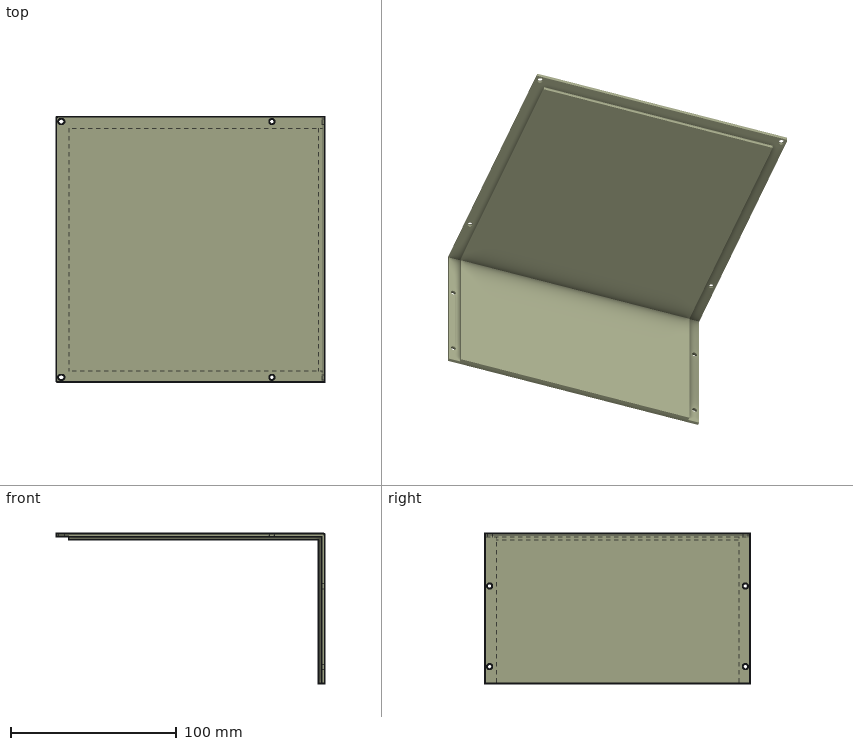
import cadquery as cq

length = 162.0
width = 160.0
height = 90.5

sheet_thickness = 2.0
liner_thickness = 2.0
bend_radius = 1.3
corner_radius = 1.0
liner_end_inset = 7.5
liner_side_inset = 7.0

hole_diameter = 3.0
hole_edge_distance = 2.9
slot_length = 3.7
slot_end_distance = 3.0
top_hole_x = 130.1
flange_hole_depths = (31.8, 80.4)

hole_offset_y = width / 2 - hole_edge_distance


def angle_sheet(start_x, corner_x, top_z, thickness, sheet_width):
    """Horizontal plate with a downward flange at its +X end, centred on Y."""
    return (
        cq.Workplane("XZ")
        .moveTo(start_x, top_z)
        .lineTo(corner_x, top_z)
        .lineTo(corner_x, 0)
        .lineTo(corner_x - thickness, 0)
        .lineTo(corner_x - thickness, top_z - thickness)
        .lineTo(start_x, top_z - thickness)
        .close()
        .extrude(sheet_width / 2, both=True)
    )


outer_sheet = angle_sheet(0, length, height, sheet_thickness, width)
outer_sheet = outer_sheet.edges("|Y and >X and >Z").fillet(bend_radius)
outer_sheet = outer_sheet.faces("<X").edges("|Z").fillet(corner_radius)

liner = angle_sheet(
    liner_end_inset,
    length - sheet_thickness,
    height - sheet_thickness,
    liner_thickness,
    width - 2 * liner_side_inset,
)
result = outer_sheet.union(liner)

top_plane = cq.Workplane("XY", origin=(0, 0, height))
slots = (
    top_plane.pushPoints([(slot_end_distance, side * hole_offset_y) for side in (-1, 1)])
    .slot2D(slot_length, hole_diameter)
    .extrude(-sheet_thickness)
)
top_holes = (
    top_plane.pushPoints([(top_hole_x, side * hole_offset_y) for side in (-1, 1)])
    .circle(hole_diameter / 2)
    .extrude(-sheet_thickness)
)

flange_holes = (
    cq.Workplane("YZ", origin=(length, 0, height))
    .pushPoints([(side * hole_offset_y, -depth) for side in (-1, 1) for depth in flange_hole_depths])
    .circle(hole_diameter / 2)
    .extrude(-sheet_thickness)
)

result = result.cut(slots).cut(top_holes).cut(flange_holes)